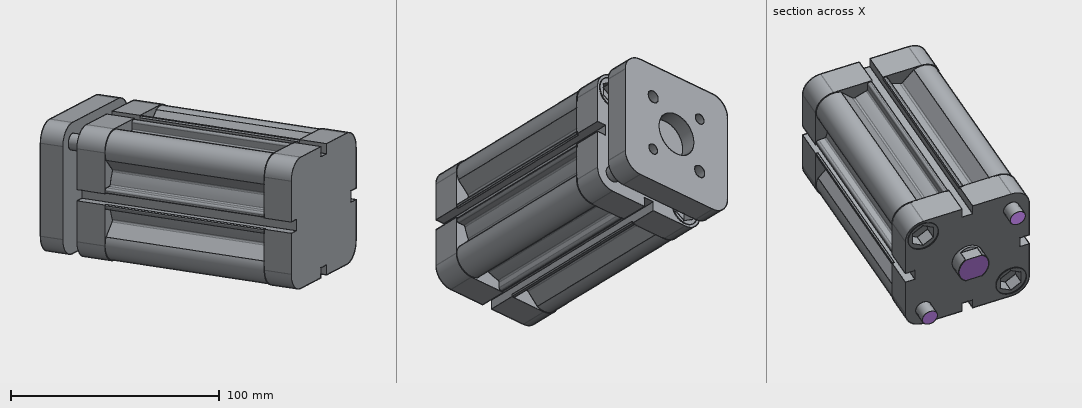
import cadquery as cq
import math

length = 136.5
width = 65.5
corner_radius = 9.5

plate_thickness = 12.3
bore_diameter = 22.2
bore_depth = 8.0
plate_hole_offset = 14.9
wide_hole_diameter = 6.4
narrow_hole_diameter = 5.5

front_cap_start = 19.9
front_cap_length = 15.2
rear_cap_length = 14.7
slot_width = 5.6
slot_depth = 5.0

tube_inset = 0.4
rib_width = 17.3
barrel_radius = 27.8
valley_fillet = 1.1
lip_half_width = 5.3
lip_outer_fillet = 1.2
lip_root_fillet = 0.8
slot_mouth_flare = 0.4
slot_mouth_depth = 0.8

screw_recess_diameter = 16.0
screw_recess_depth = 0.5
hex_across_flats = 10.9
hex_depth = 6.4

rod_offset = 23.2
guide_rod_diameter = 8.2
piston_rod_diameter = 16.1
piston_rod_chamfer = 0.4
wrench_flat_width = 13.5
wrench_flat_end = 18.2
wrench_shoulder_run = 0.5

half_width = width / 2
tube_start = front_cap_start + front_cap_length
rear_cap_start = length - rear_cap_length
rod_length = front_cap_start - plate_thickness
rod_corners = [(-rod_offset, rod_offset), (rod_offset, -rod_offset)]
screw_corners = [(rod_offset, rod_offset), (-rod_offset, -rod_offset)]


def section(x):
    """Workplane across the axis at x, with local axes along Y and Z."""
    return cq.Workplane("YZ", origin=(x, 0, 0))


def rounded_block(start, block_length):
    block = section(start).rect(width, width).extrude(block_length)
    return block.edges("|X").fillet(corner_radius)


def make_yoke_plate():
    plate = rounded_block(0, plate_thickness)
    bore = section(0).circle(bore_diameter / 2).extrude(bore_depth)
    a = plate_hole_offset
    wide = section(0).pushPoints([(a, a), (-a, -a)]).circle(wide_hole_diameter / 2)
    narrow = section(0).pushPoints([(-a, a), (a, -a)]).circle(narrow_hole_diameter / 2)
    return plate.cut(bore).cut(wide.extrude(plate_thickness)).cut(narrow.extrude(plate_thickness))


def around_axis(along, aside):
    """The eight (y, z) points that mirror one profile point onto all half sides."""
    signs = [(1, 1), (1, -1), (-1, 1), (-1, -1)]
    upright = [(s * aside, t * along) for s, t in signs]
    return upright + [(z, y) for y, z in upright]


def long_edges_at(points):
    """Selector of the edges along X that pass through the given (y, z) points."""
    reach = 0.07
    selector = None
    for y, z in points:
        box = cq.selectors.BoxSelector((0, y - reach, z - reach), (length, y + reach, z + reach))
        selector = box if selector is None else selector + box
    return selector


def on_four_sides(body):
    """Copies of a body of the +Z side, turned about the cylinder axis onto all sides."""
    sides = cq.Workplane()
    for side in range(4):
        sides = sides.add(body.rotate((0, 0, 0), (1, 0, 0), 90 * side))
    return sides.combine()


def make_rib(rib_length):
    """Bar through the axis whose two ends are arcs concentric with the cap corners."""
    half_rib = rib_width / 2
    arc_radius = corner_radius - tube_inset
    arc_center = (half_width - corner_radius) * math.sqrt(2)
    side_end = arc_center + math.sqrt(arc_radius**2 - half_rib**2)
    tip = arc_center + arc_radius
    outline = (
        section(tube_start)
        .moveTo(-side_end, -half_rib)
        .lineTo(side_end, -half_rib)
        .threePointArc((tip, 0), (side_end, half_rib))
        .lineTo(-side_end, half_rib)
        .threePointArc((-tip, 0), (-side_end, -half_rib))
        .close()
    )
    return outline.extrude(rib_length)


def make_tube():
    tube_length = rear_cap_start - tube_start
    tube_width = width - 2 * tube_inset
    lip_width = 2 * lip_half_width

    tube = section(tube_start).circle(barrel_radius).extrude(tube_length)
    for angle in (45, 135):
        tube = tube.union(make_rib(tube_length).rotate((0, 0, 0), (1, 0, 0), angle))
    tube = tube.union(section(tube_start).rect(lip_width, tube_width).extrude(tube_length))
    tube = tube.union(section(tube_start).rect(tube_width, lip_width).extrude(tube_length))

    rib_shift = rib_width / math.sqrt(2)
    valley_aside = (math.sqrt(2 * barrel_radius**2 - rib_shift**2) - rib_shift) / 2
    valleys = around_axis(valley_aside + rib_shift, valley_aside)
    lip_roots = around_axis(math.sqrt(barrel_radius**2 - lip_half_width**2), lip_half_width)
    lip_tops = around_axis(tube_width / 2, lip_half_width)
    tube = tube.edges(long_edges_at(valleys)).fillet(valley_fillet)
    tube = tube.edges(long_edges_at(lip_roots)).fillet(lip_root_fillet)
    tube = tube.edges(long_edges_at(lip_tops)).fillet(lip_outer_fillet)
    return tube.cut(make_slot_mouths(tube_width / 2, tube_length))


def make_slot_mouths(mouth_height, mouth_length):
    """Wedges that widen the side slots of the tube towards the outside."""
    half_slot = slot_width / 2
    half_mouth = half_slot + slot_mouth_flare
    mouth_floor = mouth_height - slot_mouth_depth
    corners = [
        (-half_slot, mouth_floor),
        (half_slot, mouth_floor),
        (half_mouth, mouth_height),
        (-half_mouth, mouth_height),
    ]
    return on_four_sides(section(tube_start).polyline(corners).close().extrude(mouth_length))


def make_side_slots():
    """Bars along the full housing, one in the middle of each side."""
    slot_middle = half_width - slot_depth / 2
    bar = section(0).center(0, slot_middle).rect(slot_width, slot_depth).extrude(length)
    return on_four_sides(bar)


def make_screw_socket(y, z):
    """Round recess in the front cap with a hexagon socket below it."""
    recess = section(front_cap_start).circle(screw_recess_diameter / 2).extrude(screw_recess_depth)
    hex_across_corners = hex_across_flats / math.cos(math.pi / 6)
    hexagon = section(front_cap_start).polygon(6, hex_across_corners)
    socket = hexagon.extrude(screw_recess_depth + hex_depth)
    socket = socket.rotate((0, 0, 0), (1, 0, 0), 90)
    return recess.union(socket).translate((0, y, z))


def make_housing():
    housing = rounded_block(front_cap_start, front_cap_length)
    housing = housing.union(make_tube())
    housing = housing.union(rounded_block(rear_cap_start, rear_cap_length))
    housing = housing.cut(make_side_slots())
    for y, z in screw_corners:
        housing = housing.cut(make_screw_socket(y, z))
    return housing


def make_guide_rod(y, z):
    rod = section(plate_thickness).center(y, z).circle(guide_rod_diameter / 2)
    return rod.extrude(rod_length)


def make_piston_rod():
    radius = piston_rod_diameter / 2
    rod = section(plate_thickness).circle(radius).extrude(rod_length)
    rod = rod.faces("<X").chamfer(piston_rod_chamfer)
    flat_height = wrench_flat_width / 2
    shoulder_end = wrench_flat_end + wrench_shoulder_run
    cutter = (
        cq.Workplane("XZ")
        .moveTo(plate_thickness, flat_height)
        .lineTo(wrench_flat_end, flat_height)
        .lineTo(shoulder_end, radius)
        .lineTo(plate_thickness, radius)
        .close()
        .extrude(radius, both=True)
    )
    return rod.cut(cutter).cut(cutter.mirror("XY"))


yoke_plate = make_yoke_plate()
housing = make_housing()
piston_rod = make_piston_rod()
guide_rods = [make_guide_rod(y, z) for y, z in rod_corners]

result = cq.Compound.makeCompound(
    [yoke_plate.val(), housing.val(), piston_rod.val(), *[rod.val() for rod in guide_rods]]
)